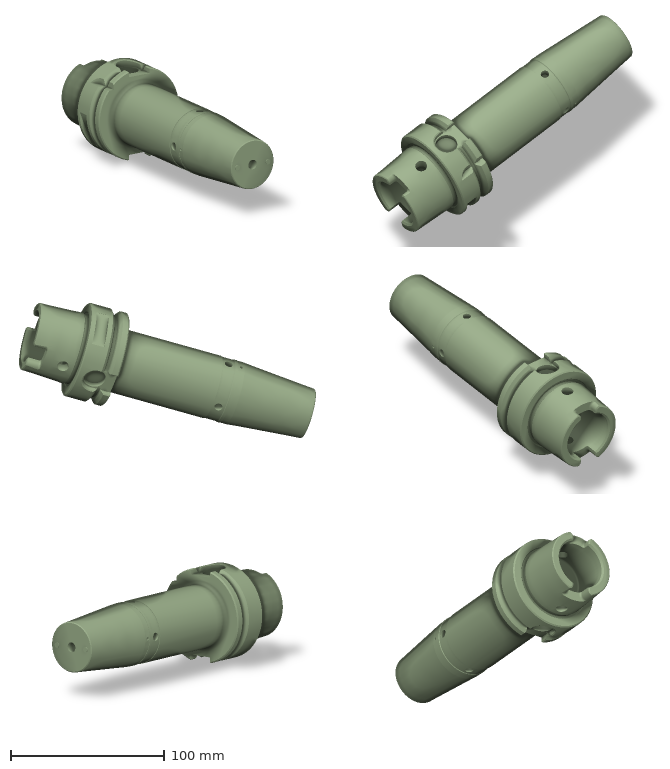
import cadquery as cq
import math


TOTAL_LENGTH = 192.0
PLUG_HEIGHT = 0.5
NOSE_END = TOTAL_LENGTH - PLUG_HEIGHT
RELIEF_START = 29.5
FLANGE_START = 32.0
FLANGE_END = 58.0
BAND_START = 125.5
COLLAR_START = 134.4
COLLAR_END = 136.3
NOSE_START = 140.7

SHANK_END_RADIUS = 22.7
SHANK_ROOT_RADIUS = 24.0
RELIEF_RADIUS = 23.5
FLANGE_RADIUS = 31.5
BODY_RADIUS = 21.1
BAND_RADIUS = 20.7
NOSE_START_RADIUS = 21.0
NOSE_END_RADIUS = 16.7
EDGE_BREAK = 0.5

FACE_RECESS_RADIUS = 25.5
FACE_RECESS_DEPTH = 0.5

FLANGE_CHAMFER = 0.8
GROOVE_CENTER = 50.0
GROOVE_FLOOR_HALF_WIDTH = 1.0
GROOVE_NECK_HALF_WIDTH = 1.7
GROOVE_MOUTH_HALF_WIDTH = 3.5
GROOVE_FLOOR_RADIUS = 27.3
GROOVE_NECK_RADIUS = 29.4
NECK_FILLET = 2.3

SHANK_BORE_RADIUS = 16.7
SHANK_BORE_DEPTH = 27.8
SHANK_BORE_FILLET = 1.2
SHANK_BORE_CHAMFER = 1.2
TUBE_BORE_RADIUS = 9.0
TUBE_BORE_DEPTH = 38.4
COUNTERSINK_RADIUS = 5.0
CENTER_HOLE_RADIUS = 3.3

KEYWAY_HALF_WIDTH = 6.0
KEYWAY_ROUND = 3.3
KEYWAY_ROUND_START = 17.7
KEYWAY_FLOOR_FILLET = 1.3
KEYWAY_ENTRANCE_FLARE = 1.0
TOP_KEYWAY_DEPTH = 6.0
BOTTOM_KEYWAY_DEPTH = 9.5

SHANK_HOLE_X = 22.7
SHANK_HOLE_RADIUS = 3.8

SLOT_CENTER_X = 44.5
SLOT_HALF_WIDTH = 7.9
SLOT_FLOOR = 26.5
SLOT_CHAMFER = 0.8
SLOT_RECESS_RADIUS = 7.1
SLOT_RECESS_DEPTH = 3.8

RIM_SAMPLES = [0, 0.3, 0.7, 1]
TOLERANCE = 0.02

NOTCH_WALL_Y = -20.2
NOTCH_FLOOR_Z = 20.0
NOTCH_CUTTER_RADIUS = 9.0

POCKET_START = 35.1
POCKET_END = 43.4
POCKET_TILT = 21.7
POCKET_FLAT_DISTANCE = 28.8
POCKET_HALF_LENGTH = 12.5

SCREW_HOLE_X = 129.8
SCREW_HOLE_RADIUS = 2.7
SCREW_HOLE_DEPTH = 5.8
DRILL_POINT_ANGLE = 118.0
CROSS_HOLE_X = 138.5
CROSS_HOLE_RADIUS = 1.0

PLUG_RADIUS = 1.7
PLUG_OFFSET = 12.0


def turned_body():
    groove_left = GROOVE_CENTER - GROOVE_MOUTH_HALF_WIDTH
    groove_right = GROOVE_CENTER + GROOVE_MOUTH_HALF_WIDTH
    return (
        cq.Workplane("XY")
        .moveTo(0, 0)
        .lineTo(0, SHANK_END_RADIUS - EDGE_BREAK)
        .lineTo(EDGE_BREAK, SHANK_END_RADIUS)
        .lineTo(RELIEF_START, SHANK_ROOT_RADIUS)
        .lineTo(RELIEF_START + EDGE_BREAK, RELIEF_RADIUS)
        .lineTo(FLANGE_START + FACE_RECESS_DEPTH, RELIEF_RADIUS)
        .lineTo(FLANGE_START + FACE_RECESS_DEPTH, FACE_RECESS_RADIUS - FACE_RECESS_DEPTH)
        .lineTo(FLANGE_START, FACE_RECESS_RADIUS)
        .lineTo(FLANGE_START, FLANGE_RADIUS - FLANGE_CHAMFER)
        .lineTo(FLANGE_START + FLANGE_CHAMFER, FLANGE_RADIUS)
        .lineTo(groove_left, FLANGE_RADIUS)
        .lineTo(GROOVE_CENTER - GROOVE_NECK_HALF_WIDTH, GROOVE_NECK_RADIUS)
        .lineTo(GROOVE_CENTER - GROOVE_FLOOR_HALF_WIDTH, GROOVE_FLOOR_RADIUS)
        .lineTo(GROOVE_CENTER + GROOVE_FLOOR_HALF_WIDTH, GROOVE_FLOOR_RADIUS)
        .lineTo(GROOVE_CENTER + GROOVE_NECK_HALF_WIDTH, GROOVE_NECK_RADIUS)
        .lineTo(groove_right, FLANGE_RADIUS)
        .lineTo(FLANGE_END - FLANGE_CHAMFER, FLANGE_RADIUS)
        .lineTo(FLANGE_END, FLANGE_RADIUS - FLANGE_CHAMFER)
        .lineTo(FLANGE_END, BODY_RADIUS + NECK_FILLET)
        .radiusArc((FLANGE_END + NECK_FILLET, BODY_RADIUS), -NECK_FILLET)
        .lineTo(BAND_START, BODY_RADIUS)
        .lineTo(BAND_START, BAND_RADIUS)
        .lineTo(COLLAR_START - (BODY_RADIUS - BAND_RADIUS), BAND_RADIUS)
        .lineTo(COLLAR_START, BODY_RADIUS)
        .lineTo(COLLAR_END, BODY_RADIUS)
        .lineTo(COLLAR_END, NOSE_START_RADIUS)
        .lineTo(NOSE_START, NOSE_START_RADIUS)
        .lineTo(NOSE_END - EDGE_BREAK, NOSE_END_RADIUS)
        .lineTo(NOSE_END, NOSE_END_RADIUS - EDGE_BREAK)
        .lineTo(NOSE_END, 0)
        .close()
        .revolve(360, (0, 0, 0), (1, 0, 0))
    )


def bores():
    countersink_depth = COUNTERSINK_RADIUS - CENTER_HOLE_RADIUS
    floor_round = SHANK_BORE_RADIUS - SHANK_BORE_FILLET
    return (
        cq.Workplane("XY")
        .moveTo(0, 0)
        .lineTo(0, SHANK_BORE_RADIUS + SHANK_BORE_CHAMFER)
        .lineTo(SHANK_BORE_CHAMFER, SHANK_BORE_RADIUS)
        .lineTo(SHANK_BORE_DEPTH - SHANK_BORE_FILLET, SHANK_BORE_RADIUS)
        .radiusArc((SHANK_BORE_DEPTH, floor_round), SHANK_BORE_FILLET)
        .lineTo(SHANK_BORE_DEPTH, TUBE_BORE_RADIUS)
        .lineTo(TUBE_BORE_DEPTH, TUBE_BORE_RADIUS)
        .lineTo(TUBE_BORE_DEPTH, COUNTERSINK_RADIUS)
        .lineTo(TUBE_BORE_DEPTH + countersink_depth, CENTER_HOLE_RADIUS)
        .lineTo(TOTAL_LENGTH, CENTER_HOLE_RADIUS)
        .lineTo(TOTAL_LENGTH, 0)
        .close()
        .revolve(360, (0, 0, 0), (1, 0, 0))
    )


def keyway_outline(plane, opening, side):
    """Keyway section, widened by opening. Its walls turn outward along an arc. side is +1 for +Z, -1 for -Z."""
    w = KEYWAY_HALF_WIDTH + opening
    arc = KEYWAY_ROUND - opening
    arc_start = side * KEYWAY_ROUND_START
    arc_end = side * (KEYWAY_ROUND_START + arc)
    top = side * FLANGE_RADIUS
    return (
        plane.moveTo(-w, 0)
        .lineTo(w, 0)
        .lineTo(w, arc_start)
        .radiusArc((w + arc, arc_end), side * arc)
        .lineTo(SHANK_ROOT_RADIUS, arc_end)
        .lineTo(SHANK_ROOT_RADIUS, top)
        .lineTo(-SHANK_ROOT_RADIUS, top)
        .lineTo(-SHANK_ROOT_RADIUS, arc_end)
        .lineTo(-w - arc, arc_end)
        .radiusArc((-w, arc_start), side * arc)
        .close()
    )


def keyway(depth, side):
    """Keyway along X with a rounded floor and a flared entrance."""
    slot = keyway_outline(cq.Workplane("YZ"), 0, side).extrude(depth)
    slot = slot.faces(">X").edges().fillet(KEYWAY_FLOOR_FILLET)
    entrance = keyway_outline(cq.Workplane("YZ"), KEYWAY_ENTRANCE_FLARE, side)
    entrance = keyway_outline(entrance.workplane(offset=EDGE_BREAK), 0, side).loft(ruled=True)
    return slot.union(entrance)


def round_ended_slot(half_width, floor, top, center_y=0.0):
    """Upright cutter path: a round end at SLOT_CENTER_X, running out of the flange toward +X."""
    length = FLANGE_END - SLOT_CENTER_X
    plane = cq.Workplane("XY", origin=(SLOT_CENTER_X, center_y, floor))
    end = plane.circle(half_width).extrude(top - floor)
    run = plane.center(length / 2, 0).rect(length, 2 * half_width).extrude(top - floor)
    return end.union(run)


def drive_slot():
    slot = round_ended_slot(SLOT_HALF_WIDTH, SLOT_FLOOR, FLANGE_RADIUS)
    recess = (
        cq.Workplane("XY", origin=(SLOT_CENTER_X, 0, SLOT_FLOOR - SLOT_RECESS_DEPTH))
        .circle(SLOT_RECESS_RADIUS)
        .extrude(SLOT_RECESS_DEPTH)
    )
    return slot.union(recess)


def orientation_notch():
    return round_ended_slot(
        NOTCH_CUTTER_RADIUS, NOTCH_FLOOR_Z, FLANGE_RADIUS, NOTCH_WALL_Y - NOTCH_CUTTER_RADIUS
    )


def flat_pocket():
    depth = FLANGE_RADIUS - POCKET_FLAT_DISTANCE
    return (
        cq.Workplane("XY")
        .box(POCKET_END - POCKET_START, depth, 2 * POCKET_HALF_LENGTH, centered=(False, False, True))
        .translate((POCKET_START, -FLANGE_RADIUS, 0))
        .rotate((0, 0, 0), (1, 0, 0), POCKET_TILT)
    )


def screw_hole(angle):
    """Blind radial hole with a drill point, turned about X from +Z."""
    floor = BODY_RADIUS - SCREW_HOLE_DEPTH
    point = SCREW_HOLE_RADIUS / math.tan(math.radians(DRILL_POINT_ANGLE / 2))
    return (
        cq.Workplane("XZ")
        .moveTo(0, floor - point)
        .lineTo(SCREW_HOLE_RADIUS, floor)
        .lineTo(SCREW_HOLE_RADIUS, BODY_RADIUS)
        .lineTo(0, BODY_RADIUS)
        .close()
        .revolve(360, (0, 0, 0), (0, 1, 0))
        .translate((SCREW_HOLE_X, 0, 0))
        .rotate((0, 0, 0), (1, 0, 0), angle)
    )


class DriveSlotRim(cq.Selector):
    """Selects the edges where the drive slots meet the outside of the flange."""

    def filter(self, edges):
        return [edge for edge in edges if self.is_rim(edge)]

    def is_rim(self, edge):
        points = edge.positions(RIM_SAMPLES)
        inside_slot = all(abs(p.y) < SLOT_HALF_WIDTH + TOLERANCE for p in points)
        on_flange = all(abs(math.hypot(p.y, p.z) - FLANGE_RADIUS) < TOLERANCE for p in points)
        runs_along_x = abs(points[0].x - points[-1].x) > TOLERANCE
        return inside_slot and on_flange and runs_along_x


result = turned_body().cut(bores())

result = result.cut(keyway(TOP_KEYWAY_DEPTH, 1)).cut(keyway(BOTTOM_KEYWAY_DEPTH, -1))

shank_hole = (
    cq.Workplane("XY")
    .center(SHANK_HOLE_X, 0)
    .circle(SHANK_HOLE_RADIUS)
    .extrude(FLANGE_RADIUS, both=True)
)
result = result.cut(shank_hole)

slot = drive_slot()
result = result.cut(slot).cut(slot.rotate((0, 0, 0), (1, 0, 0), 180))
result = result.edges(DriveSlotRim()).chamfer(SLOT_CHAMFER)
result = result.cut(orientation_notch()).cut(flat_pocket())

for angle in range(0, 360, 90):
    result = result.cut(screw_hole(angle))

cross_hole = (
    cq.Workplane("XZ")
    .center(CROSS_HOLE_X, 0)
    .circle(CROSS_HOLE_RADIUS)
    .extrude(FLANGE_RADIUS, both=True)
)
result = result.cut(cross_hole)

plugs = (
    cq.Workplane("YZ", origin=(NOSE_END, 0, 0))
    .pushPoints([(-PLUG_OFFSET, 0), (PLUG_OFFSET, 0)])
    .circle(PLUG_RADIUS)
    .extrude(PLUG_HEIGHT)
)
result = result.union(plugs)